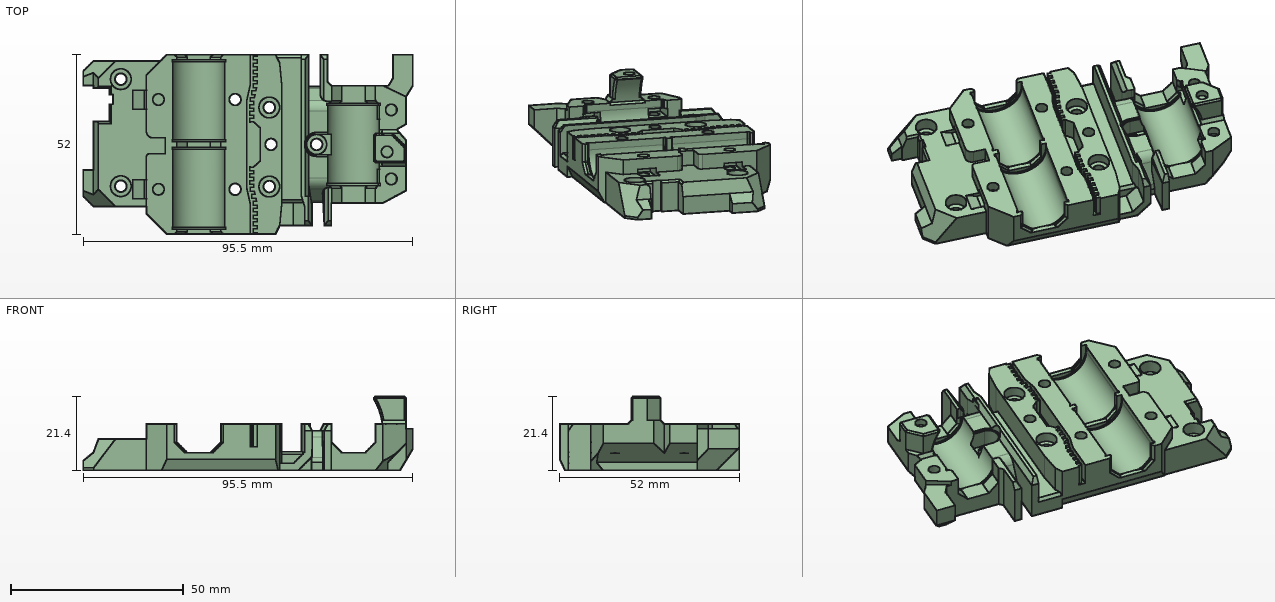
import math

import cadquery as cq

TOP = 13.5
PLATE_TOP = 9.15
FULL_HEIGHT = 21.4
HALF_WIDTH = 26.0
LENGTH = 95.5

BEARING_RADIUS = 7.5
BEARING_LENGTH = 23.8
BODY_BEARING_X = 33.5
BLOCK_BEARING_X = 78.3
BEARING_Z = 11.5
RELIEF_WIDTH = 0.6
RELIEF_DEPTH = 0.25
RIB_HALF = 0.75
WINDOW_HALF = 6.35
WINDOW_FLOOR = 5.15
WINDOW_BEVEL = 3.0
WINDOW_FLARE = 0.75

SCREW_DIAMETER = 3.3
HEAD_DIAMETER = 6.0
NUT_WIDTH = 5.5
NUT_BOTTOM = 7.9
NUT_TOP = 10.4
BLOCK_NUT_LIFT = 0.6
BLIND_BOTTOM = 5.0
PLATE_SCREW_X = 10.9
PLATE_SCREW_YS = (18.9, -12.1)
FRONT_SCREW_X = 21.8
MIDDLE_SCREW_X = 44.0
CENTER_SCREW_X = 54.4
HEAD_SCREW_X = 53.9
HEAD_SCREW_YS = (10.7, -12.2)
BRIDGE_SCREW_X = 67.6
TAB_SCREW_X = 88.0
TAB_SCREW_Y = -2.15
BODY_SCREW_Y = 13.0
PLATE_HEAD_DEPTH = 3.9
BODY_HEAD_DEPTH = 3.1
BRIDGE_HEAD_DIAMETER = 5.8

PLATE_LEFT = 24.2
PLATE_RIGHT = -18.0
LIP_X = 2.95
LIP_Z = 5.2
NOSE_Z = 2.8
LEFT_NOSE_Y = 17.0
RIGHT_NOSE_Y = -7.4
PLATE_OVERLAP = 12.0
PLATE_EDGE_X = 4.4
CORNER_INSET_TOP = 9.4
CORNER_INSET_BOTTOM = 3.0
CORNER_FOOT = 0.7
NOTCH_CHAMFER = 0.6

BODY_FRONT = 18.3
BODY_REAR = 57.5
BODY_CORNER = 5.9
BODY_END_X = 55.7
BODY_TAPER_X = 56.9
BODY_TAPER_Y = 23.6
BODY_SKIRT_Y = 1.5
BODY_SKIRT_Z = 3.2

SLOT_WALL_X = 48.4
SLOT_WIDTH = 2.0
SLOT_SHIFT = 1.0
SLOT_FLOOR = 6.8
SHIFT_START = 12.8
SHIFT_END = 17.3
BELT_PITCH = 2.0
TOOTH_WIDTH = 1.1
TOOTH_HEIGHT = 1.1
FIRST_TOOTH_Y = 7.0
TEETH_PER_SIDE = 10

CHANNEL_FLOOR = 5.4
CHANNEL_END_Y = -16.9
SHELF_END_Y = -23.5
SHELF_TOP = 2.0
FIN_FRONT = 63.2
FIN_REAR = 65.35
FIN_OFFSET = 0.95
FIN_CHAMFER_Z = 2.0
FIN_CHAMFER_X = 1.1
FIN_END_CHAMFER = 1.4
GUIDE_FRONT = 68.6
GUIDE_REAR = 70.8
RIGHT_GUIDE_FRONT = 69.8
RIGHT_GUIDE_NECK = 69.3
GUIDE_END_Y = 12.5
BRIDGE_TOP = 11.5
BRIDGE_HALF = 16.8
BRIDGE_FLAT_HALF = 9.7
BRIDGE_FILLET = 3.6
BRIDGE_SLOPE = 60.0

BLOCK_FRONT = 71.9
BLOCK_REAR = 93.5
BLOCK_HALF = 17.0
BLOCK_LEFT_CORNER = (86.9, BLOCK_HALF)
ARM_ROOT_Y = 13.8
ARM_TOP = 12.1
ARM_FRONT = 89.7
BLOCK_SCREW_X = 89.2
BLOCK_SCREW_Y = 10.0
TAB_FRONT = 84.1
TAB_LEFT = 3.2
TAB_RIGHT = -5.3
TAB_FLARE = 1.0
TAB_CHAMFER = 0.5
TAB_HOLLOW_CHAMFER = 0.6
TAB_HOLE_DEPTH = 2.0


def box(x0, x1, y0, y1, z0, z1):
    """Box from its limits along each axis."""
    return cq.Workplane("XY").box(x1 - x0, y1 - y0, z1 - z0, centered=False).translate((x0, y0, z0))


def prism_x(points, x0, x1):
    """Extrude a (y, z) polygon along X."""
    return cq.Workplane("YZ", origin=(x0, 0, 0)).polyline(points).close().extrude(x1 - x0)


def prism_y(points, y0, y1):
    """Extrude an (x, z) polygon along Y."""
    return cq.Workplane("XZ", origin=(0, y1, 0)).polyline(points).close().extrude(y1 - y0)


def prism_z(points, z0, z1):
    """Extrude an (x, y) polygon along Z."""
    return cq.Workplane("XY", origin=(0, 0, z0)).polyline(points).close().extrude(z1 - z0)


def cylinder_z(x, y, diameter, z0, z1):
    """Upright cylinder."""
    return cq.Workplane("XY", origin=(x, y, z0)).circle(diameter / 2).extrude(z1 - z0)


def screw_hole(x, y, bottom=0.0, head_seat=None, head_diameter=HEAD_DIAMETER):
    """Screw hole open at the top, with a counterbore above head_seat when one is given."""
    hole = cylinder_z(x, y, SCREW_DIAMETER, bottom, TOP)
    if head_seat is not None:
        hole = hole.union(cylinder_z(x, y, head_diameter, head_seat, TOP))
    return hole


def corner_bevel(corner_y, angle):
    """Steep 45-degree bevel across a front corner of the plate; angle turns it to that corner."""
    corner = -abs(corner_y)
    top = (corner + CORNER_INSET_TOP) / math.sqrt(2)
    foot = (corner + CORNER_INSET_BOTTOM) / math.sqrt(2)
    outside = foot - 10.0
    outline = [(top, PLATE_TOP), (foot, CORNER_FOOT), (foot, 0), (outside, 0), (outside, PLATE_TOP)]
    reach = 40.0
    return prism_y(outline, -reach, reach).rotate((0, 0, 0), (0, 0, 1), angle)


def make_plate():
    """Front plate with two noses, bevelled corners and the side notch."""
    profile = [
        (LIP_X, 0),
        (LIP_X, LIP_Z),
        (PLATE_EDGE_X, PLATE_TOP),
        (BODY_FRONT + PLATE_OVERLAP, PLATE_TOP),
        (BODY_FRONT + PLATE_OVERLAP, 0),
    ]
    plate = prism_y(profile, PLATE_RIGHT, PLATE_LEFT)
    nose = [(0, 0), (0, NOSE_Z), (LIP_X, LIP_Z), (LIP_X + 1.0, LIP_Z), (LIP_X + 1.0, 0)]
    plate = plate.union(prism_y(nose, PLATE_RIGHT, RIGHT_NOSE_Y))
    plate = plate.union(prism_y(nose, LEFT_NOSE_Y, PLATE_LEFT))
    plate = plate.cut(corner_bevel(PLATE_LEFT, -45))
    plate = plate.cut(corner_bevel(PLATE_RIGHT, 45))

    notch_right, notch_left, notch_depth = 6.65, 16.3, 7.6
    pocket_right, pocket_left, pocket_depth = 11.7, 14.4, 8.6
    plate = plate.cut(box(0, notch_depth, notch_right, notch_left, 0, PLATE_TOP))
    plate = plate.cut(box(notch_depth, pocket_depth, pocket_right, pocket_left, 0, PLATE_TOP))
    rim = cq.Workplane("XY", origin=(notch_depth / 2, (notch_right + notch_left) / 2, PLATE_TOP))
    rim = rim.rect(notch_depth + 2 * NOTCH_CHAMFER, notch_left - notch_right + 2 * NOTCH_CHAMFER)
    return plate.cut(rim.extrude(-NOTCH_CHAMFER, taper=45))


def make_body():
    """Main bearing body with its bevelled skirt and the fillet-mouthed front notch."""
    front_flat = HALF_WIDTH - BODY_CORNER
    right_side = [
        (BODY_FRONT, -front_flat),
        (BODY_FRONT + BODY_CORNER, -HALF_WIDTH),
        (BODY_END_X, -HALF_WIDTH),
        (BODY_TAPER_X, -BODY_TAPER_Y),
        (BODY_REAR, -SHIFT_END),
    ]
    left_side = [(x, -y) for x, y in reversed(right_side)]
    body = prism_z(right_side + left_side, 0, TOP)
    for side in (-1, 1):
        skirt = [
            (side * HALF_WIDTH, BODY_SKIRT_Z),
            (side * (HALF_WIDTH - BODY_SKIRT_Y), 0),
            (side * HALF_WIDTH, 0),
        ]
        body = body.cut(prism_x(skirt, BODY_FRONT, BODY_REAR))

    notch_left, notch_right, notch_end, mouth = 1.9, -2.7, 23.7, 1.9
    notch = (
        cq.Workplane("XY", origin=(0, 0, PLATE_TOP))
        .moveTo(BODY_FRONT, notch_left + mouth)
        .radiusArc((BODY_FRONT + mouth, notch_left), -mouth)
        .lineTo(notch_end, notch_left)
        .lineTo(notch_end, notch_right)
        .lineTo(BODY_FRONT + mouth / 2, notch_right)
        .radiusArc((BODY_FRONT, notch_right - mouth / 2), -mouth / 2)
        .close()
        .extrude(TOP - PLATE_TOP)
    )
    return body.cut(notch)


def trough(center_x, radius, y0, y1):
    """U-shaped trough along Y: half-round floor with straight sides up to the top."""
    return (
        cq.Workplane("XZ", origin=(center_x, y1, BEARING_Z))
        .moveTo(-radius, TOP - BEARING_Z)
        .lineTo(-radius, 0)
        .threePointArc((0, -radius), (radius, 0))
        .lineTo(radius, TOP - BEARING_Z)
        .close()
        .extrude(y1 - y0)
    )


def bearing_seat(center_x, y0, y1):
    """Seat for one bearing, with a shallow relief ring at each end."""
    seat = trough(center_x, BEARING_RADIUS, y0, y1)
    for start in (y0, y1 - RELIEF_WIDTH):
        seat = seat.union(trough(center_x, BEARING_RADIUS + RELIEF_DEPTH, start, start + RELIEF_WIDTH))
    return seat


def window_outline(center_x, grow):
    """Window through a bearing end wall: bottom corners cut at 45 degrees."""
    half = WINDOW_HALF + grow
    floor_half = half - WINDOW_BEVEL
    shoulder = WINDOW_FLOOR + WINDOW_BEVEL
    right = [(floor_half, WINDOW_FLOOR), (half, shoulder), (half, TOP)]
    left = [(-x, z) for x, z in reversed(right)]
    return [(center_x + x, z) for x, z in right + left]


def window(center_x, y0, y1):
    """Straight window through the walls between y0 and y1."""
    return prism_y(window_outline(center_x, 0), y0, y1)


def window_flare(center_x, outer_y, inner_y):
    """Flared mouth of a window, wide at outer_y and down to window size at inner_y."""
    outer = cq.Wire.makePolygon(
        [cq.Vector(x, outer_y, z) for x, z in window_outline(center_x, WINDOW_FLARE)], close=True
    )
    inner = cq.Wire.makePolygon(
        [cq.Vector(x, inner_y, z) for x, z in window_outline(center_x, 0)], close=True
    )
    return cq.Workplane(obj=cq.Solid.makeLoft([outer, inner], True))


def body_bearing_cut():
    """Both bearing seats of the body with the windows at their ends and between them."""
    cut = window(BODY_BEARING_X, -HALF_WIDTH, HALF_WIDTH)
    for side in (-1, 1):
        ends = sorted((side * RIB_HALF, side * (RIB_HALF + BEARING_LENGTH)))
        cut = cut.union(bearing_seat(BODY_BEARING_X, ends[0], ends[1]))
        cut = cut.union(window_flare(BODY_BEARING_X, side * HALF_WIDTH, side * (HALF_WIDTH - WINDOW_FLARE)))
    return cut


def block_bearing_cut():
    """Bearing seat of the rear block with end windows that flare toward the seat."""
    half = BEARING_LENGTH / 2
    cut = bearing_seat(BLOCK_BEARING_X, -half, half)
    cut = cut.union(window(BLOCK_BEARING_X, -BLOCK_HALF, BLOCK_HALF))
    for side in (-1, 1):
        cut = cut.union(window_flare(BLOCK_BEARING_X, side * half, side * (half + WINDOW_FLARE)))
    return cut


def slot_shift(y):
    """How far the belt slot has moved toward the front at y."""
    share = (SHIFT_END - abs(y)) / (SHIFT_END - SHIFT_START)
    return SLOT_SHIFT * min(max(share, 0.0), 1.0)


def belt_slot():
    """Belt slot that jogs forward in the middle, with belt teeth on its rear wall."""
    stations = [-HALF_WIDTH, -SHIFT_END, -SHIFT_START, SHIFT_START, SHIFT_END, HALF_WIDTH]
    front = [(SLOT_WALL_X - slot_shift(y), y) for y in stations]
    rear = [(x + SLOT_WIDTH, y) for x, y in reversed(front)]
    slot = prism_z(front + rear, SLOT_FLOOR, TOP)
    for index in range(TEETH_PER_SIDE):
        for side in (-1, 1):
            y = side * (FIRST_TOOTH_Y + index * BELT_PITCH)
            root = SLOT_WALL_X + SLOT_WIDTH - slot_shift(y)
            half = TOOTH_WIDTH / 2
            slot = slot.cut(box(root - TOOTH_HEIGHT, root + SLOT_SHIFT, y - half, y + half, SLOT_FLOOR, TOP))

    pocket_rear, pocket_mouth, pocket_half, pocket_taper = 51.25, 49.3, 6.6, 1.8
    pocket = [
        (SLOT_WALL_X, -pocket_half),
        (pocket_mouth, -pocket_half),
        (pocket_rear, pocket_taper - pocket_half),
    ]
    pocket += [(x, -y) for x, y in reversed(pocket)]
    return slot.union(prism_z(pocket, SLOT_FLOOR, TOP))


def make_channel():
    """Floor of the belt channel, the low shelf at its right end and the front fin."""
    edge_z, edge_y = 0.8, 0.9
    profile = [
        (CHANNEL_END_Y, 0),
        (CHANNEL_END_Y, CHANNEL_FLOOR - edge_z),
        (CHANNEL_END_Y + edge_y, CHANNEL_FLOOR),
        (HALF_WIDTH - edge_y, CHANNEL_FLOOR),
        (HALF_WIDTH, CHANNEL_FLOOR - edge_z),
        (HALF_WIDTH, 0),
    ]
    floor = prism_x(profile, BODY_END_X, FIN_REAR)
    bend_start, bend_middle, bend_end = -12.0, -15.0, -18.0
    offset_front = FIN_FRONT + FIN_OFFSET
    offset_rear = FIN_REAR + FIN_OFFSET
    bevel, shelf_rise = 4.0, 5.3
    shelf_profile = [
        (BODY_TAPER_X, 0),
        (offset_rear - bevel, 0),
        (offset_rear, bevel),
        (offset_rear, bevel + 2.0),
        (offset_front, shelf_rise),
        (offset_front - shelf_rise + SHELF_TOP, SHELF_TOP),
        (BODY_TAPER_X, SHELF_TOP),
    ]
    shelf = prism_y(shelf_profile, SHELF_END_Y, CHANNEL_END_Y)

    fin_outline = [
        (FIN_FRONT, HALF_WIDTH),
        (FIN_FRONT, bend_middle),
        (offset_front, bend_end),
        (offset_front, SHELF_END_Y),
        (offset_rear, SHELF_END_Y),
        (offset_rear, bend_end),
        (FIN_REAR, bend_start),
        (FIN_REAR, HALF_WIDTH),
    ]
    fin = prism_z(fin_outline, 0, TOP)
    low = TOP - FIN_CHAMFER_Z
    edges = ((FIN_REAR, bend_middle, HALF_WIDTH), (offset_rear, SHELF_END_Y, bend_middle))
    for rear, y0, y1 in edges:
        fin = fin.cut(prism_y([(rear - FIN_CHAMFER_X, TOP), (rear, low), (rear, TOP)], y0, y1))
    underside = [(offset_rear - bevel, 0), (offset_rear, bevel), (offset_rear, 0)]
    fin = fin.cut(prism_y(underside, SHELF_END_Y, CHANNEL_END_Y))
    fin = fin.cut(fin_end_chamfer(HALF_WIDTH, 1)).cut(fin_end_chamfer(SHELF_END_Y, -1))
    return floor.union(shelf).union(fin)


def fin_end_chamfer(end_y, side):
    """Wedge that slopes the top of both fins down toward end_y."""
    wedge = [(end_y, TOP - FIN_CHAMFER_Z), (end_y - side * FIN_END_CHAMFER, TOP), (end_y, TOP)]
    return prism_x(wedge, FIN_FRONT, BLOCK_FRONT)


def make_guides():
    """Two rear fins that curl round into the rear block on either side of the bridge."""
    left_curl, right_curl = 2.2, 1.7
    left = (
        cq.Workplane("XY")
        .moveTo(GUIDE_FRONT, HALF_WIDTH)
        .lineTo(GUIDE_FRONT, GUIDE_END_Y + left_curl)
        .radiusArc((GUIDE_FRONT + left_curl, GUIDE_END_Y), -left_curl)
        .lineTo(BLOCK_FRONT, GUIDE_END_Y)
        .lineTo(BLOCK_FRONT, BLOCK_HALF)
        .lineTo(GUIDE_REAR, BLOCK_HALF + BLOCK_FRONT - GUIDE_REAR)
        .lineTo(GUIDE_REAR, HALF_WIDTH)
        .close()
        .extrude(TOP)
    )
    right = (
        cq.Workplane("XY")
        .moveTo(RIGHT_GUIDE_FRONT, SHELF_END_Y)
        .lineTo(RIGHT_GUIDE_NECK, -GUIDE_END_Y - right_curl)
        .radiusArc((RIGHT_GUIDE_NECK + right_curl, -GUIDE_END_Y), right_curl)
        .lineTo(BLOCK_FRONT, -GUIDE_END_Y)
        .lineTo(BLOCK_FRONT, SHELF_END_Y)
        .close()
        .extrude(TOP)
    )
    low = TOP - FIN_CHAMFER_Z
    left_edge = [(GUIDE_FRONT, low), (GUIDE_FRONT + FIN_CHAMFER_X, TOP), (GUIDE_FRONT, TOP)]
    left = left.cut(prism_y(left_edge, GUIDE_END_Y, HALF_WIDTH))
    right_edge = [
        (RIGHT_GUIDE_NECK, low),
        (RIGHT_GUIDE_FRONT, low),
        (RIGHT_GUIDE_FRONT + FIN_CHAMFER_X, TOP),
        (RIGHT_GUIDE_NECK, TOP),
    ]
    right = right.cut(prism_y(right_edge, SHELF_END_Y, -GUIDE_END_Y))
    left = left.cut(fin_end_chamfer(HALF_WIDTH, 1))
    right = right.cut(fin_end_chamfer(SHELF_END_Y, -1))
    return left.union(right)


def make_bridge():
    """Low bridge joining the channel to the rear block, rounded down at both ends."""
    slope = math.radians(BRIDGE_SLOPE)
    arc_y = BRIDGE_FLAT_HALF + BRIDGE_FILLET * math.sin(slope)
    arc_z = BRIDGE_TOP - BRIDGE_FILLET * (1 - math.cos(slope))
    foot_y = BRIDGE_HALF - 0.6
    foot_z = arc_z - (foot_y - arc_y) * math.tan(slope)
    end_z = 2.3
    return (
        cq.Workplane("YZ", origin=(FIN_REAR - 0.5, 0, 0))
        .moveTo(-BRIDGE_HALF, 0)
        .lineTo(-BRIDGE_HALF, end_z)
        .lineTo(-foot_y, foot_z)
        .lineTo(-arc_y, arc_z)
        .radiusArc((-BRIDGE_FLAT_HALF, BRIDGE_TOP), BRIDGE_FILLET)
        .lineTo(BRIDGE_FLAT_HALF, BRIDGE_TOP)
        .radiusArc((arc_y, arc_z), BRIDGE_FILLET)
        .lineTo(foot_y, foot_z)
        .lineTo(BRIDGE_HALF, end_z)
        .lineTo(BRIDGE_HALF, 0)
        .close()
        .extrude(BLOCK_FRONT - FIN_REAR + 0.6)
    )


def bridge_recess():
    """Keyhole recess round the bridge screw, open into the rear bearing seat."""
    half, rim = 3.0, 0.5
    floor_z, head_seat = 5.6, 5.0
    recess = cylinder_z(BRIDGE_SCREW_X, 0, 2 * half, floor_z, TOP)
    recess = recess.union(box(BRIDGE_SCREW_X, BLOCK_FRONT, -half, half, floor_z, TOP))
    lip = cylinder_z(BRIDGE_SCREW_X, 0, 2 * (half + rim), BRIDGE_TOP - rim, TOP)
    lip = lip.union(box(BRIDGE_SCREW_X, BLOCK_FRONT, -half - rim, half + rim, BRIDGE_TOP - rim, TOP))
    screw = screw_hole(BRIDGE_SCREW_X, 0, head_seat=head_seat, head_diameter=BRIDGE_HEAD_DIAMETER)
    return recess.union(lip).union(screw)


def make_block():
    """Rear block and the arm that reaches out to its left."""
    corner_x, corner_y = 86.8, -13.4
    outline = [
        (BLOCK_FRONT, -BLOCK_HALF),
        (corner_x, -BLOCK_HALF),
        (BLOCK_REAR, corner_y),
        (BLOCK_REAR, ARM_ROOT_Y),
        BLOCK_LEFT_CORNER,
        (BLOCK_FRONT, BLOCK_HALF),
    ]
    block = prism_z(outline, 0, TOP)
    slope_x, slope_start, slope_end = 88.2, 2.3, 7.8
    underside = [(slope_x, 0), (slope_x, slope_start), (BLOCK_REAR, slope_end), (BLOCK_REAR, 0)]
    block = block.cut(prism_y(underside, -BLOCK_HALF, ARM_ROOT_Y))
    corner_foot, corner_run, corner_height = 71.9, 4.5, 8.0
    corner = [
        (corner_foot, 0),
        (corner_foot + corner_run, corner_height),
        (LENGTH, corner_height),
        (LENGTH, 0),
    ]
    block = block.cut(prism_y(corner, 0, LENGTH).rotate((0, 0, 0), (0, 0, 1), -45))

    arm_neck_x, arm_neck_y = 1.3, 2.2
    arm_outline = [
        BLOCK_LEFT_CORNER,
        (ARM_FRONT - arm_neck_x, BLOCK_HALF),
        (ARM_FRONT, BLOCK_HALF + arm_neck_y),
        (ARM_FRONT, HALF_WIDTH),
        (LENGTH, HALF_WIDTH),
        (LENGTH, BLOCK_HALF),
        (BLOCK_REAR, ARM_ROOT_Y),
    ]
    arm = prism_z(arm_outline, 0, ARM_TOP)
    arm_tip, arm_rear_height, arm_rear_foot = 6.6, 6.2, 91.75
    arm_slope = [(HALF_WIDTH, arm_tip), (HALF_WIDTH - arm_tip, 0), (HALF_WIDTH, 0)]
    arm = arm.cut(prism_x(arm_slope, BLOCK_LEFT_CORNER[0], LENGTH))
    rear_slope = [(LENGTH, arm_rear_height), (arm_rear_foot, 0), (LENGTH, 0)]
    return block.union(arm).cut(prism_y(rear_slope, ARM_ROOT_Y, HALF_WIDTH))


def make_tab():
    """Screw tab on the rear block with a hollowed front face and a flared foot."""
    tab_corner = 3.9
    outline = [
        (TAB_FRONT, TAB_RIGHT),
        (BLOCK_REAR - TAB_CHAMFER, TAB_RIGHT),
        (BLOCK_REAR, TAB_RIGHT + TAB_CHAMFER),
        (BLOCK_REAR, TAB_LEFT - tab_corner),
        (BLOCK_REAR - tab_corner, TAB_LEFT),
        (TAB_FRONT, TAB_LEFT),
    ]
    tab = prism_z(outline, TOP, FULL_HEIGHT).cut(tab_hollow())
    tab = tab.edges("%CIRCLE or (|Z and <X)").chamfer(TAB_HOLLOW_CHAMFER)
    tab = tab.faces(">Z").chamfer(TAB_CHAMFER)
    foot = prism_x(
        [
            (TAB_RIGHT - TAB_FLARE, TOP),
            (TAB_RIGHT, TOP + TAB_FLARE),
            (TAB_LEFT, TOP + TAB_FLARE),
            (TAB_LEFT + TAB_FLARE, TOP),
        ],
        TAB_FRONT,
        BLOCK_REAR,
    )
    return tab.union(foot)


def tab_hollow():
    """Concave clearance in the tab's front face that runs down into the bearing seat."""
    foot_x, foot_z, lip_z = 86.6, TOP - 0.6, 20.7
    hollow_middle = (85.7, 17.4)
    return (
        cq.Workplane("XZ", origin=(0, TAB_LEFT + TAB_FLARE, 0))
        .moveTo(BLOCK_BEARING_X + BEARING_RADIUS, foot_z)
        .lineTo(foot_x, TOP)
        .threePointArc(hollow_middle, (TAB_FRONT, lip_z))
        .lineTo(BLOCK_BEARING_X, lip_z)
        .lineTo(BLOCK_BEARING_X, foot_z)
        .close()
        .extrude(TAB_LEFT - TAB_RIGHT + 2 * TAB_FLARE)
    )


def rear_notch():
    """V notch through the rear edge of the block beside the tab."""
    tip = (90.8, 4.3)
    mouth_left, mouth_right = 7.0, -1.0
    return prism_z([(LENGTH, mouth_left), tip, (LENGTH, mouth_right)], 0, FULL_HEIGHT)


def body_nut_slot(y):
    """Nut slot under a front body screw, reached by a ramp in the plate."""
    half = NUT_WIDTH / 2
    ramp_start, ramp_end = 14.4, 17.7
    slot_end = FRONT_SCREW_X + half
    profile = [
        (ramp_start, PLATE_TOP),
        (ramp_end, NUT_BOTTOM),
        (slot_end, NUT_BOTTOM),
        (slot_end, NUT_TOP),
        (ramp_start, NUT_TOP),
    ]
    return prism_y(profile, y - half, y + half)


def block_nut_slot(y):
    """Nut slot under a rear block screw, entered from the bearing seat."""
    half = NUT_WIDTH / 2
    bottom = NUT_BOTTOM + BLOCK_NUT_LIFT
    top = NUT_TOP + BLOCK_NUT_LIFT
    return box(BLOCK_BEARING_X, BLOCK_SCREW_X + half, y - half, y + half, bottom, top)


def screw_cuts():
    """All screw holes and nut slots of the plate, body, block and tab."""
    cuts = []
    for y in PLATE_SCREW_YS:
        cuts.append(screw_hole(PLATE_SCREW_X, y, head_seat=PLATE_TOP - PLATE_HEAD_DEPTH))
    for y in HEAD_SCREW_YS:
        cuts.append(screw_hole(HEAD_SCREW_X, y, head_seat=TOP - BODY_HEAD_DEPTH))
    cuts.append(screw_hole(CENTER_SCREW_X, 0))
    for y in (BODY_SCREW_Y, -BODY_SCREW_Y):
        cuts.append(screw_hole(FRONT_SCREW_X, y, bottom=BLIND_BOTTOM))
        cuts.append(body_nut_slot(y))
        cuts.append(screw_hole(MIDDLE_SCREW_X, y))
    for y in (BLOCK_SCREW_Y, -BLOCK_SCREW_Y):
        cuts.append(screw_hole(BLOCK_SCREW_X, y, bottom=BLIND_BOTTOM))
        cuts.append(block_nut_slot(y))
    tab_hole_bottom = FULL_HEIGHT - TAB_HOLE_DEPTH
    cuts.append(cylinder_z(TAB_SCREW_X, TAB_SCREW_Y, SCREW_DIAMETER, tab_hole_bottom, FULL_HEIGHT))
    return cuts


result = make_plate().union(make_body().cut(belt_slot()))
result = result.cut(body_bearing_cut())
result = result.union(make_channel()).union(make_bridge()).union(make_guides())
result = result.union(make_block()).union(make_tab())
result = result.cut(block_bearing_cut())
result = result.cut(bridge_recess()).cut(tab_hollow()).cut(rear_notch())
for cut in screw_cuts():
    result = result.cut(cut)